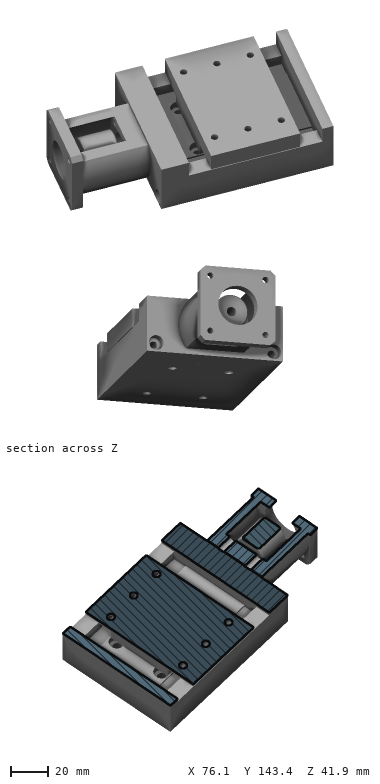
import cadquery as cq

stage_width = 76.1
stage_bottom = -15.9

flange_side = 41.9
flange_thickness = 6.3
flange_chamfer = 2.6
flange_bore_diameter = 22.0
motor_hole_spacing = 31.0
motor_hole_diameter = 3.5

barrel_length = 38.7
barrel_diameter = 41.5
barrel_height = 25.5
barrel_cavity_diameter = 31.8
barrel_wall_thickness = 10.2
coupling_passage_diameter = 14.0
mount_screw_spacing_x = 18.9
mount_screw_spacing_z = 14.9
mount_screw_diameter = 4.0

coupling_diameter = 19.0
coupling_length = 19.0
coupling_gap = 6.3
coupling_chamfer = 0.7
coupling_bore_diameter = 5.2

end_block_length = 15.8
end_block_height = 31.0
base_screw_spacing = 66.0
base_screw_z = -10.9
base_screw_diameter = 4.2
base_screw_head_diameter = 8.2
base_screw_head_depth = 5.2

base_length = 76.3
base_height = 21.0
side_wall_width = 9.0
groove_depth = 6.6
plateau_width = 41.5
plateau_rise = 1.1
mounting_hole_spacing_x = 31.5
mounting_hole_spacing_y = 50.6
mounting_hole_diameter = 4.9
mounting_head_diameter = 9.0
mounting_head_depth = 4.3

carriage_length = 50.8
carriage_top = 15.9
carriage_clearance = 0.5
carriage_foot_width = 39.9
table_hole_spacing_x = 50.9
table_hole_spacing_y = 19.0
table_hole_diameter = 4.0

overall_length = 143.4

barrel_front = flange_thickness
end_block_front = barrel_front + barrel_length
base_front = end_block_front + end_block_length
base_back = base_front + base_length
base_middle = (base_front + base_back) / 2
base_top = stage_bottom + base_height
groove_floor = base_top - groove_depth
plateau_top = groove_floor + plateau_rise
carriage_bottom = base_top + carriage_clearance


def box(width, y_start, y_end, z_start, z_end):
    """Box centred on X = 0 that spans the given Y and Z ranges."""
    return (
        cq.Workplane("XY")
        .box(width, y_end - y_start, z_end - z_start, centered=(True, False, False))
        .translate((0, y_start, z_start))
    )


def rods(points, diameter, y_start, length):
    """Cylinders that run along +Y from y_start, at (x, z) points."""
    plane = cq.Plane(origin=(0, y_start, 0), xDir=(1, 0, 0), normal=(0, -1, 0))
    return cq.Workplane(plane).pushPoints(points).circle(diameter / 2).extrude(-length)


def posts(points, diameter, z_start, z_end):
    """Cylinders that run along +Z from z_start to z_end, at (x, y) points."""
    return (
        cq.Workplane("XY", origin=(0, 0, z_start))
        .pushPoints(points)
        .circle(diameter / 2)
        .extrude(z_end - z_start)
    )


def corner_points(spacing_u, spacing_v, centre_v=0.0):
    """Four corners of a rectangle centred on (0, centre_v)."""
    return [
        (u * spacing_u / 2, centre_v + v * spacing_v / 2)
        for u in (-1, 1)
        for v in (-1, 1)
    ]


AXIS = [(0, 0)]


def make_motor_mount():
    flange = box(flange_side, 0, flange_thickness, -flange_side / 2, flange_side / 2)
    flange = flange.edges("|Y").chamfer(flange_chamfer)
    flange = flange.cut(rods(AXIS, flange_bore_diameter, 0, flange_thickness))
    motor_holes = corner_points(motor_hole_spacing, motor_hole_spacing)
    flange = flange.cut(rods(motor_holes, motor_hole_diameter, 0, flange_thickness))

    barrel = rods(AXIS, barrel_diameter, barrel_front, barrel_length)
    flats = box(barrel_diameter, barrel_front, end_block_front, -barrel_height / 2, barrel_height / 2)
    barrel = barrel.intersect(flats)
    cavity_length = barrel_length - barrel_wall_thickness
    barrel = barrel.cut(rods(AXIS, barrel_cavity_diameter, barrel_front, cavity_length))
    barrel = barrel.cut(rods(AXIS, coupling_passage_diameter, barrel_front, barrel_length))
    screw_holes = corner_points(mount_screw_spacing_x, mount_screw_spacing_z)
    barrel = barrel.cut(rods(screw_holes, mount_screw_diameter, barrel_front, barrel_length))
    return flange.union(barrel)


def make_coupling():
    coupling_front = barrel_front + coupling_gap
    body = rods(AXIS, coupling_diameter, coupling_front, coupling_length)
    body = body.faces("<Y or >Y").chamfer(coupling_chamfer)
    return body.cut(rods(AXIS, coupling_bore_diameter, coupling_front, coupling_length))


def make_end_block():
    block = box(stage_width, end_block_front, base_front, stage_bottom, stage_bottom + end_block_height)
    screws = [(side * base_screw_spacing / 2, base_screw_z) for side in (-1, 1)]
    block = block.cut(rods(screws, base_screw_diameter, end_block_front, end_block_length))
    return block.cut(rods(screws, base_screw_head_diameter, end_block_front, base_screw_head_depth))


def make_end_plate():
    return box(stage_width, base_back, overall_length, stage_bottom, stage_bottom + end_block_height)


def make_base():
    groove_width = stage_width - 2 * side_wall_width
    base = box(stage_width, base_front, base_back, stage_bottom, base_top)
    base = base.cut(box(groove_width, base_front, base_back, groove_floor, base_top))
    base = base.union(box(plateau_width, base_front, base_back, groove_floor, plateau_top))
    holes = corner_points(mounting_hole_spacing_x, mounting_hole_spacing_y, base_middle)
    base = base.cut(posts(holes, mounting_hole_diameter, stage_bottom, plateau_top))
    head_seat = plateau_top - mounting_head_depth
    return base.cut(posts(holes, mounting_head_diameter, head_seat, plateau_top))


def make_carriage():
    front = base_middle - carriage_length / 2
    back = base_middle + carriage_length / 2
    table = box(stage_width, front, back, carriage_bottom, carriage_top)
    foot = box(carriage_foot_width, front, back, plateau_top, carriage_bottom)
    carriage = table.union(foot)
    holes = [
        (side * table_hole_spacing_x / 2, base_middle + row * table_hole_spacing_y)
        for side in (-1, 1)
        for row in (-1, 0, 1)
    ]
    return carriage.cut(posts(holes, table_hole_diameter, carriage_bottom, carriage_top))


motor_mount = make_motor_mount()
coupling = make_coupling()
end_block = make_end_block()
end_plate = make_end_plate()
base = make_base()
carriage = make_carriage()

result = cq.Compound.makeCompound(
    [
        motor_mount.val(),
        coupling.val(),
        end_block.val(),
        end_plate.val(),
        base.val(),
        carriage.val(),
    ]
)